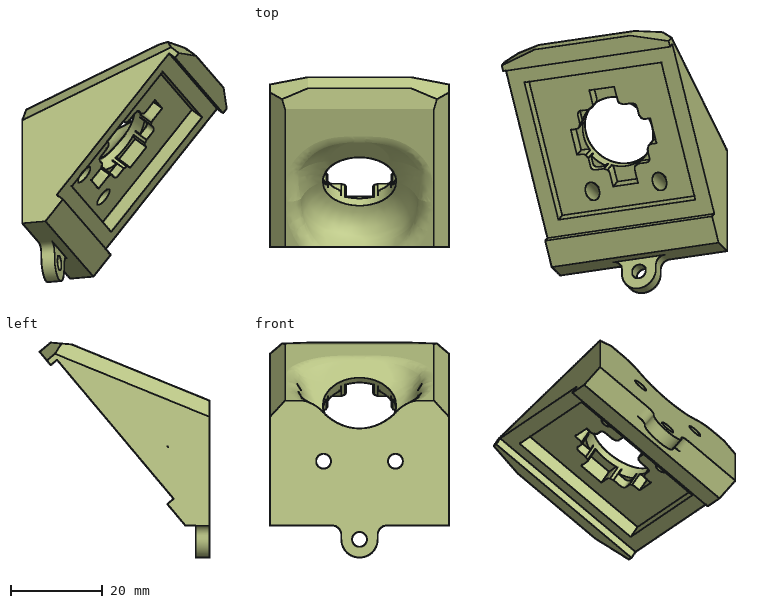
import cadquery as cq
import math

width = 39.0
front_height = 27.23
overall_depth = 37.0
top_height = 39.9
ramp_angle = 22.2
crest_angle = 5.0
side_chamfer = 3.3

seat_y = 14.4
seat_z = 26.1
seat_tilt = 50.0
bore_radius = 7.95

slot_level = 1.7
holder_level = 3.0
recess_level = 5.0
groove_level = 8.0
back_level = 9.8

groove_half_length = 19.75
recess_half_size = 16.0

holder_half_size = 6.9
holder_corner_radius = 1.0
slot_half_width = 2.9
slot_mouth_radius = 1.2
slot_reach_across = 9.3
slot_reach_along = 11.2

lower_floor_radius = 5.8
lower_wall_radius = 7.2
upper_floor_radius = 6.55
upper_wall_radius = 9.35
bowl_stretch = 6.65
bowl_height = 28.1
rim_fillet = 3.3

end_half_width = 11.2
corner_drop = 2.5

hole_diameter = 3.2
plate_hole_spacing = 15.65
plate_hole_height = 14.0
lug_radius = 4.0
lug_drop = 3.0
lug_thickness = 3.0
lug_fillet = 2.0

sin_tilt = math.sin(math.radians(seat_tilt))
cos_tilt = math.cos(math.radians(seat_tilt))
sin_45 = math.sin(math.radians(45))
half_width = width / 2
end_reach = (overall_depth - seat_y - back_level * sin_tilt) / cos_tilt

seat = cq.Plane(origin=(0, seat_y, seat_z), xDir=(1, 0, 0), normal=(0, -sin_tilt, cos_tilt))


def seat_point(along, level):
    """(Y, Z) of a point on the seat: distance up the slope and depth below the floor."""
    y = seat_y + along * cos_tilt + level * sin_tilt
    z = seat_z + along * sin_tilt - level * cos_tilt
    return (y, z)


def seat_workplane(level):
    """Workplane parallel to the bowl floor, at a depth below it."""
    return cq.Workplane(seat).workplane(offset=-level)


def body():
    """Wedge with a ramped front, a tilted back and a board groove across the back."""
    ramp_slope = math.tan(math.radians(ramp_angle))
    crest_slope = math.tan(math.radians(crest_angle))
    crest_level = (seat_z + end_reach * sin_tilt - top_height) / cos_tilt
    crest_y, crest_z = seat_point(end_reach, crest_level)
    ramp_end_y = (crest_z - crest_slope * crest_y - front_height) / (ramp_slope - crest_slope)
    ramp_end = (ramp_end_y, front_height + ramp_slope * ramp_end_y)
    heel_along = (back_level * cos_tilt - seat_z) / sin_tilt
    outline = [
        (0, 0),
        (0, front_height),
        ramp_end,
        (crest_y, crest_z),
        seat_point(end_reach, back_level),
        seat_point(groove_half_length, back_level),
        seat_point(groove_half_length, groove_level),
        seat_point(-groove_half_length, groove_level),
        seat_point(-groove_half_length, back_level),
        seat_point(heel_along, back_level),
    ]
    return cq.Workplane("YZ").polyline(outline).close().extrude(half_width, both=True)


def side_chamfer_cutter(side):
    """Prism that bevels one side edge of the ramp at 45 degrees."""
    ramp = math.radians(ramp_angle)
    ramp_plane = cq.Plane(
        origin=(0, 0, front_height),
        xDir=(1, 0, 0),
        normal=(0, -math.cos(ramp), -math.sin(ramp)),
    )
    overshoot = side_chamfer
    inner = half_width - side_chamfer
    outer = half_width + overshoot
    outline = [
        (side * (inner - overshoot), overshoot),
        (side * outer, -side_chamfer - overshoot),
        (side * outer, overshoot),
    ]
    return cq.Workplane(ramp_plane).polyline(outline).close().extrude(overall_depth * 2, both=True)


def corner_cutter(side):
    """Prism that crops one corner of the top end, square to the seat."""
    outline = [
        (side * end_half_width, end_reach),
        (side * half_width, end_reach - corner_drop),
        (side * half_width, end_reach),
    ]
    return seat_workplane(back_level).polyline(outline).close().extrude(bowl_height)


def bowl_half_profile(along, floor_radius, wall_radius):
    """Half section across the bowl: flat floor, concave quarter-round wall, straight side."""
    y, z = seat_point(along, 0)
    plane = cq.Plane(origin=(0, y, z), xDir=(1, 0, 0), normal=(0, -cos_tilt, -sin_tilt))
    outer_radius = floor_radius + wall_radius
    diagonal = wall_radius * sin_45
    return (
        cq.Workplane(plane)
        .lineTo(floor_radius, 0)
        .threePointArc((floor_radius + diagonal, wall_radius - diagonal), (outer_radius, wall_radius))
        .lineTo(outer_radius, bowl_height)
        .lineTo(0, bowl_height)
        .close()
    )


def bowl_cutter():
    """Round lower end and wider round upper end, joined by flaring sides."""
    lower = (0, lower_floor_radius, lower_wall_radius)
    upper = (bowl_stretch, upper_floor_radius, upper_wall_radius)
    lower_end = bowl_half_profile(*lower).revolve(180, (0, 0), (0, -1))
    upper_end = bowl_half_profile(*upper).revolve(180, (0, 0), (0, 1))
    cutter = lower_end.union(upper_end)
    sections = [bowl_half_profile(*lower).val(), bowl_half_profile(*upper).val()]
    right_side = cq.Workplane(cq.Solid.makeLoft(sections, True))
    left_side = right_side.mirror("YZ")
    return cutter.union(right_side).union(left_side)


def slot_cutter(turn, reach):
    """Slot through one side of the holder pocket, with a rounded mouth."""
    mouth = slot_half_width + slot_mouth_radius
    wall_start = holder_half_size + slot_mouth_radius
    diagonal = slot_mouth_radius * sin_45
    right_middle = (mouth - diagonal, wall_start - diagonal)
    left_middle = (-right_middle[0], right_middle[1])
    slot = (
        cq.Workplane(seat.rotated((0, 0, turn)))
        .workplane(offset=-recess_level)
        .moveTo(-mouth, 0)
        .lineTo(mouth, 0)
        .lineTo(mouth, holder_half_size)
        .threePointArc(right_middle, (slot_half_width, wall_start))
        .lineTo(slot_half_width, reach)
        .lineTo(-slot_half_width, reach)
        .lineTo(-slot_half_width, wall_start)
        .threePointArc(left_middle, (-mouth, holder_half_size))
        .close()
    )
    return slot.extrude(recess_level - slot_level)


def seat_cutter():
    """Bore, slotted holder pocket and board recess, opening into the groove."""
    holder_size = 2 * holder_half_size
    recess_size = 2 * recess_half_size
    holder_outline = cq.Sketch().rect(holder_size, holder_size).vertices().fillet(holder_corner_radius)
    bore = seat_workplane(recess_level).circle(bore_radius).extrude(recess_level + lower_wall_radius)
    holder = seat_workplane(recess_level).placeSketch(holder_outline).extrude(recess_level - holder_level)
    recess = seat_workplane(groove_level).rect(recess_size, recess_size).extrude(groove_level - recess_level)
    cutter = bore.union(holder).union(recess)
    for turn in (0, 180):
        cutter = cutter.union(slot_cutter(turn, slot_reach_along))
    for turn in (90, 270):
        cutter = cutter.union(slot_cutter(turn, slot_reach_across))
    return cutter


def lug():
    """Rounded tab below the front face, blended into the underside."""
    foot = lug_radius + lug_fillet
    diagonal = lug_fillet * sin_45
    blend_x = foot - diagonal
    blend_z = diagonal - lug_fillet
    return (
        cq.Workplane("XZ")
        .moveTo(-foot, 0)
        .threePointArc((-blend_x, blend_z), (-lug_radius, -lug_fillet))
        .lineTo(-lug_radius, -lug_drop)
        .threePointArc((0, -lug_drop - lug_radius), (lug_radius, -lug_drop))
        .lineTo(lug_radius, -lug_fillet)
        .threePointArc((blend_x, blend_z), (foot, 0))
        .close()
        .extrude(-lug_thickness)
    )


def screw_holes():
    """Two holes through the plate and one through the lug, all along Y."""
    half_spacing = plate_hole_spacing / 2
    centres = [
        (-half_spacing, plate_hole_height),
        (half_spacing, plate_hole_height),
        (0, -lug_drop),
    ]
    holes = cq.Workplane("XZ").pushPoints(centres).circle(hole_diameter / 2)
    return holes.extrude(-overall_depth)


ramp_normal = cq.Vector(0, -math.sin(math.radians(ramp_angle)), math.cos(math.radians(ramp_angle)))
ramp_faces = cq.selectors.ParallelDirSelector(ramp_normal)
rim_clearance = 0.45
rim_reach = 2 * (lower_floor_radius + lower_wall_radius)
bowl_rim = cq.selectors.BoxSelector(
    (-half_width + side_chamfer + rim_clearance, rim_clearance, 0),
    (half_width - side_chamfer - rim_clearance, rim_reach, top_height),
)

block = body()
for side in (-1, 1):
    block = block.cut(side_chamfer_cutter(side)).cut(corner_cutter(side))

shell = block.cut(bowl_cutter())
shell = shell.faces(ramp_faces).edges(bowl_rim).fillet(rim_fillet)
result = shell.cut(seat_cutter()).union(lug()).cut(screw_holes())